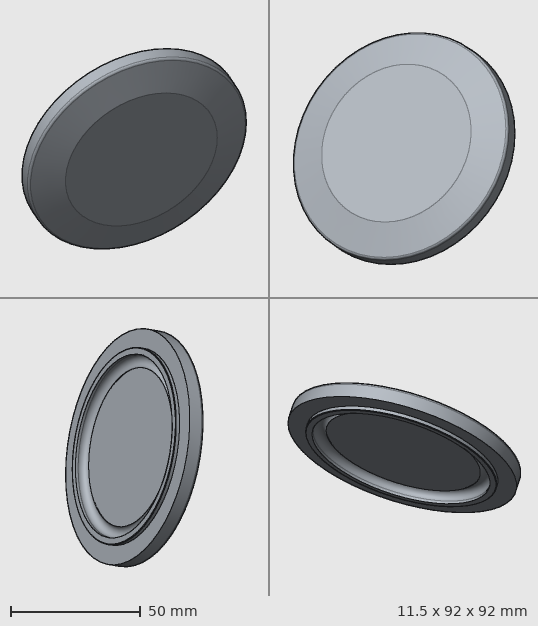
import cadquery as cq
import math

rim_radius = 46.0
total_thickness = 11.5
boss_radius = 38.5
boss_height = 1.75
boss_edge_chamfer = 0.3
rim_width = 6.3
rim_edge_radius = 1.1
back_face_radius = 31.9
recess_radius = 35.8
recess_depth = 3.0
recess_wall_depth = 1.2
floor_radius = 31.0

groove_center = ((recess_wall_depth + recess_depth) / 2, (recess_radius + floor_radius) / 2)
groove_reach = ((recess_radius - floor_radius) / 2, (recess_depth - recess_wall_depth) / 2)
groove_bottom = (groove_center[0] + groove_reach[0], groove_center[1] + groove_reach[1])

cone_start = boss_height + rim_width
cone_run = total_thickness - cone_start
cone_drop = rim_radius - back_face_radius

turn_angle = math.atan2(cone_drop, cone_run)
tangent_length = rim_edge_radius * math.tan(turn_angle / 2)
round_center = (cone_start - tangent_length, rim_radius - rim_edge_radius)


def on_edge_round(angle):
    """Point on the rim rounding, turned from the radial direction by angle."""
    return (
        round_center[0] + rim_edge_radius * math.sin(angle),
        round_center[1] + rim_edge_radius * math.cos(angle),
    )


def make_disc():
    """Boss, rim and conical back revolved as one half profile (X, radius)."""
    return (
        cq.Workplane("XY")
        .lineTo(0, boss_radius - boss_edge_chamfer)
        .lineTo(boss_edge_chamfer, boss_radius)
        .lineTo(boss_height, boss_radius)
        .lineTo(boss_height, rim_radius)
        .lineTo(*on_edge_round(0))
        .threePointArc(on_edge_round(turn_angle / 2), on_edge_round(turn_angle))
        .lineTo(total_thickness, back_face_radius)
        .lineTo(total_thickness, 0)
        .close()
        .revolve(360, (0, 0, 0), (1, 0, 0))
    )


def make_recess():
    """Round recess with a deeper, round-bottomed ring groove along its wall."""
    return (
        cq.Workplane("XY")
        .lineTo(0, recess_radius)
        .lineTo(recess_wall_depth, recess_radius)
        .threePointArc(groove_bottom, (recess_depth, floor_radius))
        .lineTo(recess_depth, 0)
        .close()
        .revolve(360, (0, 0, 0), (1, 0, 0))
    )


result = make_disc().cut(make_recess())